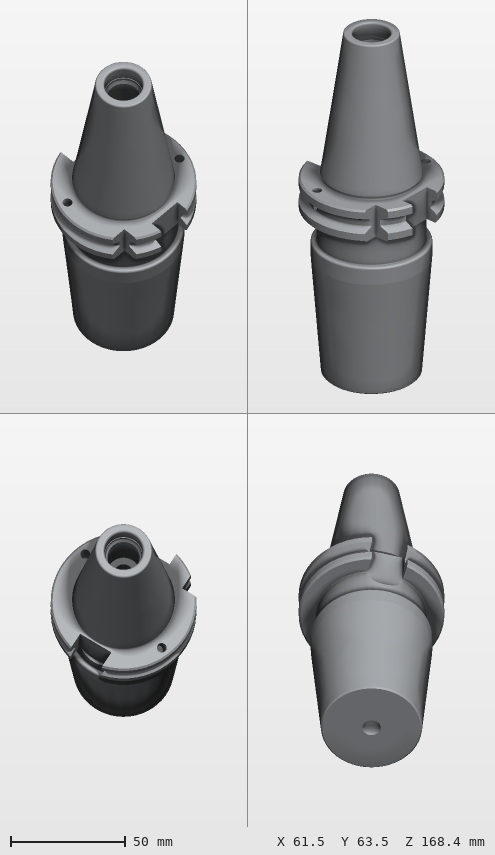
import cadquery as cq
import math

total_height = 168.4
taper_length = 68.4
gauge_to_flange = 3.2
gauge_z = total_height - taper_length
flange_top_z = gauge_z - gauge_to_flange
flange_height = 15.8
flange_bottom_z = flange_top_z - flange_height
collar_top_z = 65.5
collar_bottom_z = 57.3

gauge_radius = 22.2
taper_slope = 7 / 48
tip_radius = gauge_radius - taper_length * taper_slope
tip_round = 0.8
taper_overrun = 1.2
undercut_round = 0.8

flange_radius = 63.5 / 2
flange_chamfer = 0.8
groove_floor_radius = 28.1
groove_floor_width = 3.2
groove_center_depth = 7.9
groove_center_z = flange_top_z - groove_center_depth
groove_flank_angle = 30.0
groove_corner_round = 0.5

body_radius = 48.0 / 2
body_corner_round = 0.5
collar_radius = 53.0 / 2
collar_round = 1.0
nose_radius = 22.0
nose_chamfer = 0.7

keyway_width = 16.0
deep_keyway_x = 22.7
shallow_keyway_x = 25.0
notch_offset = 18.5

bore_radius = 8.5
bore_mouth_round = 1.0
bore_depth = 6.9
bore_step_radius = 8.0
bore_step_height = 1.3
bore_cone_height = 1.3
thread_radius = 7.0
thread_depth = 32.0
through_radius = 4.0

coolant_radius = 4.2 / 2
coolant_circle_radius = 27.1
coolant_lean = 15.0
coolant_depth = 10.1
port_radius = 1.7
port_depth = 3.4
coolant_directions = (70.0, 250.0)


def round_rings(body, rings, round_radius):
    """Fillet the circular edges found at the given (radius, height) pairs."""
    tolerance = 0.02

    def is_wanted(edge):
        return any(
            abs(edge.radius() - radius) < tolerance and abs(edge.Center().z - z) < tolerance
            for radius, z in rings
        )

    edges = [edge for edge in body.edges("%CIRCLE").vals() if is_wanted(edge)]
    return body.newObject(edges).fillet(round_radius)


def make_outer_body():
    """Revolve the holder from the nose up to the taper tip, then round its edges."""
    flank_height = (flange_radius - groove_floor_radius) * math.tan(math.radians(groove_flank_angle))
    floor_bottom_z = groove_center_z - groove_floor_width / 2
    floor_top_z = groove_center_z + groove_floor_width / 2
    taper_end_z = gauge_z - taper_overrun
    taper_end_radius = gauge_radius + taper_overrun * taper_slope
    neck_radius = taper_end_radius - undercut_round
    arc_inset = undercut_round * (1 - math.sqrt(0.5))
    body = (
        cq.Workplane("XZ")
        .lineTo(nose_radius - nose_chamfer, 0)
        .lineTo(nose_radius, nose_chamfer)
        .lineTo(collar_radius, collar_bottom_z)
        .lineTo(collar_radius, collar_top_z)
        .lineTo(body_radius, collar_top_z)
        .lineTo(body_radius, flange_bottom_z)
        .lineTo(flange_radius - flange_chamfer, flange_bottom_z)
        .lineTo(flange_radius, flange_bottom_z + flange_chamfer)
        .lineTo(flange_radius, floor_bottom_z - flank_height)
        .lineTo(groove_floor_radius, floor_bottom_z)
        .lineTo(groove_floor_radius, floor_top_z)
        .lineTo(flange_radius, floor_top_z + flank_height)
        .lineTo(flange_radius, flange_top_z - flange_chamfer)
        .lineTo(flange_radius - flange_chamfer, flange_top_z)
        .lineTo(taper_end_radius, flange_top_z)
        .threePointArc(
            (neck_radius + arc_inset, flange_top_z + arc_inset),
            (neck_radius, flange_top_z + undercut_round),
        )
        .lineTo(neck_radius, taper_end_z)
        .lineTo(taper_end_radius, taper_end_z)
        .lineTo(tip_radius, total_height)
        .lineTo(0, total_height)
        .close()
        .revolve(360, (0, 0), (0, 1))
    )
    groove_corners = [(groove_floor_radius, floor_bottom_z), (groove_floor_radius, floor_top_z)]
    body_corners = [(body_radius, collar_top_z), (body_radius, flange_bottom_z)]
    body = round_rings(body, [(tip_radius, total_height)], tip_round)
    body = round_rings(body, [(collar_radius, collar_top_z)], collar_round)
    body = round_rings(body, groove_corners, groove_corner_round)
    return round_rings(body, body_corners, body_corner_round)


def make_bore():
    """Stepped pull stud bore with a rounded mouth, and the through hole below it."""
    bore_bottom_z = total_height - bore_depth
    thread_bottom_z = total_height - thread_depth
    step_bottom_z = bore_bottom_z - bore_step_height
    mouth_center_radius = bore_radius + bore_mouth_round
    mouth_start_z = total_height - bore_mouth_round
    arc_offset = bore_mouth_round * math.sqrt(0.5)
    return (
        cq.Workplane("XZ")
        .lineTo(through_radius, 0)
        .lineTo(through_radius, thread_bottom_z)
        .lineTo(thread_radius, thread_bottom_z)
        .lineTo(thread_radius, step_bottom_z - bore_cone_height)
        .lineTo(bore_step_radius, step_bottom_z)
        .lineTo(bore_step_radius, bore_bottom_z)
        .lineTo(bore_radius, bore_bottom_z)
        .lineTo(bore_radius, mouth_start_z)
        .threePointArc(
            (mouth_center_radius - arc_offset, mouth_start_z + arc_offset),
            (mouth_center_radius, total_height),
        )
        .lineTo(0, total_height)
        .close()
        .revolve(360, (0, 0), (0, 1))
    )


def make_keyway(floor_x, side):
    """Round-ended slot from the flange top, open outward; side is +1 or -1 along X."""
    return (
        cq.Workplane("YZ", origin=(side * floor_x, 0, flange_bottom_z))
        .moveTo(-keyway_width / 2, 0)
        .threePointArc((0, -keyway_width / 2), (keyway_width / 2, 0))
        .lineTo(keyway_width / 2, flange_height)
        .lineTo(-keyway_width / 2, flange_height)
        .close()
        .extrude(side * flange_radius)
    )


def make_notch():
    """Square corner cut through the full flange height at +X, -Y."""
    return (
        cq.Workplane("XY", origin=(notch_offset, -notch_offset, flange_bottom_z))
        .rect(flange_radius, -flange_radius, centered=False)
        .extrude(flange_height)
    )


def make_coolant_hole(direction):
    """Leaning blind hole and its radial port, laid out along +X and turned to the direction."""
    lean = math.radians(coolant_lean)
    hole_axis = cq.Vector(-math.sin(lean), 0, -math.cos(lean))
    mouth = cq.Vector(coolant_circle_radius, 0, flange_top_z)
    start = mouth - hole_axis * coolant_radius
    hole = cq.Solid.makeCylinder(coolant_radius, coolant_depth + coolant_radius, start, hole_axis)
    port_start = cq.Vector(groove_floor_radius - port_depth, 0, groove_center_z)
    port = cq.Solid.makeCylinder(port_radius, 2 * port_depth, port_start, cq.Vector(1, 0, 0))
    return cq.Workplane(hole.fuse(port)).rotate((0, 0, 0), (0, 0, 1), direction)


result = (
    make_outer_body()
    .cut(make_bore())
    .cut(make_keyway(deep_keyway_x, -1))
    .cut(make_keyway(shallow_keyway_x, 1))
    .cut(make_notch())
)
for coolant_direction in coolant_directions:
    result = result.cut(make_coolant_hole(coolant_direction))